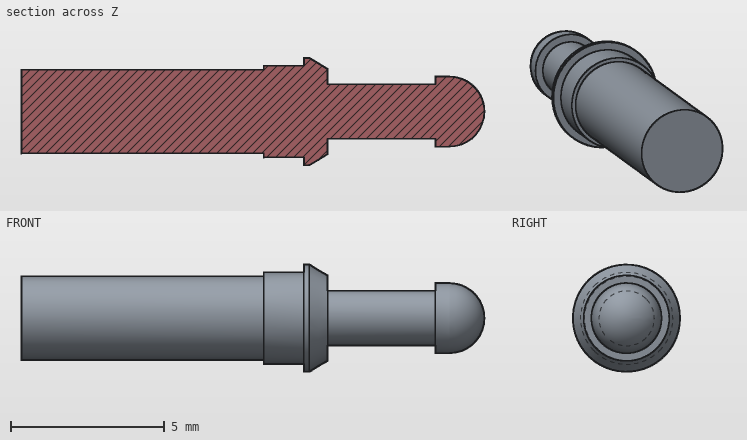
import cadquery as cq

barrel_diameter = 2.75
collar_diameter = 3.0
flange_diameter = 3.5
taper_end_diameter = 2.8
plunger_diameter = 1.8
tip_diameter = 2.3

total_length = 15.1
collar_start = 7.9
flange_start = 9.21
taper_start = 9.39
taper_end = 9.98
tip_start = 13.5

tip_radius = tip_diameter / 2
dome_start = total_length - tip_radius


def cylinder(diameter, start, end):
    """Solid cylinder on the X axis between two stations."""
    return cq.Workplane("YZ", origin=(start, 0, 0)).circle(diameter / 2).extrude(end - start)


def taper(start_diameter, end_diameter, start, end):
    """Truncated cone on the X axis between two stations."""
    profile = [(start, 0), (start, start_diameter / 2), (end, end_diameter / 2), (end, 0)]
    return cq.Workplane("XY").polyline(profile).close().revolve(360, (0, 0, 0), (1, 0, 0))


def domed_tip():
    """Short cylindrical band closed by a hemisphere."""
    dome_rise = tip_radius * 0.5**0.5
    return (
        cq.Workplane("XY")
        .moveTo(tip_start, 0)
        .lineTo(tip_start, tip_radius)
        .lineTo(dome_start, tip_radius)
        .threePointArc((dome_start + dome_rise, dome_rise), (total_length, 0))
        .close()
        .revolve(360, (0, 0, 0), (1, 0, 0))
    )


result = (
    cylinder(barrel_diameter, 0, collar_start)
    .union(cylinder(collar_diameter, collar_start, flange_start))
    .union(cylinder(flange_diameter, flange_start, taper_start))
    .union(taper(flange_diameter, taper_end_diameter, taper_start, taper_end))
    .union(cylinder(plunger_diameter, taper_end, tip_start))
    .union(domed_tip())
)